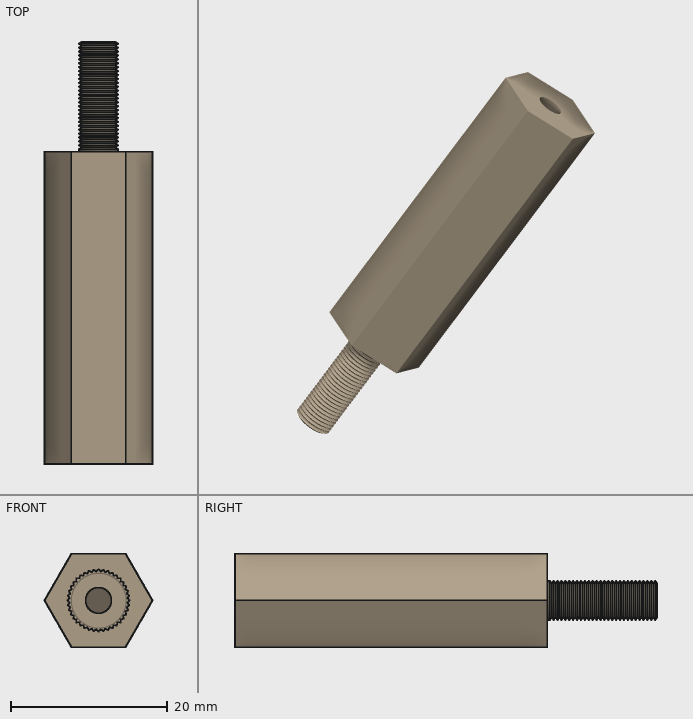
import cadquery as cq
import math

TOTAL_LENGTH = 54.0
HEX_LENGTH = 39.95

HEX_ACROSS_FLATS = 12.0
HEX_ACROSS_CORNERS = HEX_ACROSS_FLATS / math.cos(math.pi / 6)

INSERT_LENGTH = 10.0
CORE_DIAMETER = 7.0
BORE_DIAMETER = 3.3
KNURL_ROOT_DIAMETER = 7.4
KNURL_TIP_DIAMETER = 8.0
KNURL_TEETH = 40

THREAD_LENGTH = 14.0
THREAD_START = TOTAL_LENGTH - THREAD_LENGTH
THREAD_DIAMETER = 5.0
THREAD_ROOT_DIAMETER = 4.3
THREAD_RIDGES = 28
THREAD_PITCH = THREAD_LENGTH / THREAD_RIDGES


def along_y(outline, length):
    """Extrude an outline lying in the Y = 0 plane towards +Y."""
    return outline.extrude(-length)


def knurled_bar():
    """Straight-knurled bar with V-shaped teeth, the full envelope of the insert."""
    corners = []
    for tooth in range(KNURL_TEETH):
        for offset, diameter in ((0, KNURL_TIP_DIAMETER), (0.5, KNURL_ROOT_DIAMETER)):
            angle = 2 * math.pi * (tooth + offset) / KNURL_TEETH
            corners.append((diameter / 2 * math.cos(angle), diameter / 2 * math.sin(angle)))
    return along_y(cq.Workplane("XZ").polyline(corners).close(), INSERT_LENGTH)


def make_housing():
    """Hexagonal bar with a blind socket that the knurled insert fills."""
    bar = along_y(cq.Workplane("XZ").polygon(6, HEX_ACROSS_CORNERS), HEX_LENGTH)
    return bar.cut(knurled_bar())


def make_insert():
    """Round core inside a knurled sleeve, flush with the housing and bored end to end."""
    core = along_y(cq.Workplane("XZ").circle(CORE_DIAMETER / 2), INSERT_LENGTH)
    sleeve = knurled_bar().cut(core)
    bore = along_y(cq.Workplane("XZ").circle(BORE_DIAMETER / 2), INSERT_LENGTH)
    return core.cut(bore).union(sleeve, clean=False)


def make_stud():
    """Stud standing on the +Y face of the housing, with one V-shaped ridge per pitch."""
    crest_radius = THREAD_DIAMETER / 2
    root_radius = THREAD_ROOT_DIAMETER / 2
    profile = [(0, HEX_LENGTH), (crest_radius, HEX_LENGTH)]
    for ridge in range(THREAD_RIDGES):
        ridge_start = THREAD_START + ridge * THREAD_PITCH
        profile.append((crest_radius, ridge_start + THREAD_PITCH / 2))
        profile.append((root_radius, ridge_start + THREAD_PITCH))
    profile.append((0, TOTAL_LENGTH))
    return cq.Workplane("XY").polyline(profile).close().revolve(360, (0, 0), (0, 1))


housing = make_housing()
insert = make_insert()
stud = make_stud()

result = cq.Compound.makeCompound([housing.val(), insert.val(), stud.val()])